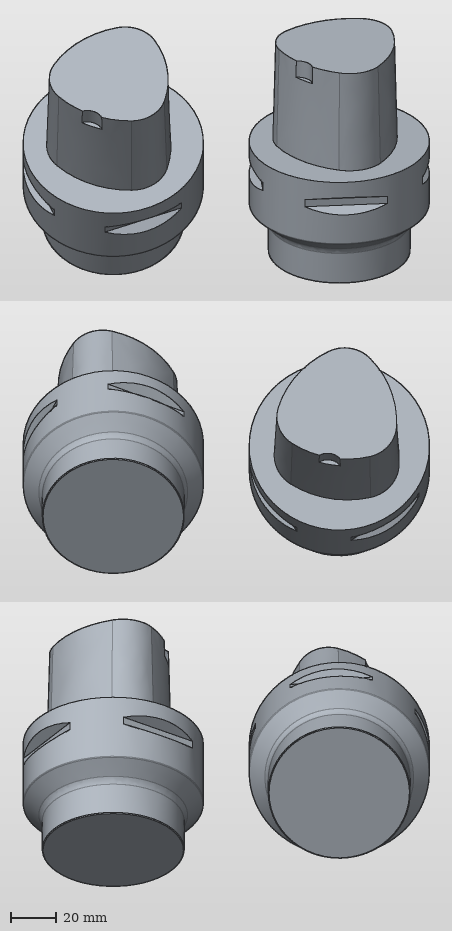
import cadquery as cq
import math

total_height = 103.0
flange_top = 55.0
flange_bottom = 24.1

flange_radius = 80.0 / 2
collar_radius = 63.0 / 2
cone_angle = 50.0
neck_fillet = 4.1
flange_edge_fillet = 0.6
collar_chamfer = 0.4

lobe_reach = 29.7
side_reach = 25.4
lobe_center_distance = 13.2
taper_slope = 1 / 40

notch_radius = 7.0
notch_inner_y = -22.2
notch_floor = 94.9

groove_count = 4
groove_first_angle = 45.0
groove_floor_distance = 35.5
groove_height = 43.1
groove_floor_width = 3.5
groove_wall_angle = 30.0


def rounded(body, height, radius):
    """Fillet the circular edge whose plane is nearest to the given height."""
    circles = body.edges("%CIRCLE")
    edge = min(circles.vals(), key=lambda circle: abs(circle.Center().z - height))
    return body.newObject([edge]).fillet(radius)


def turned_body():
    """Collar, cone and flange as one revolved profile."""
    cone_height = (flange_radius - collar_radius) / math.tan(math.radians(cone_angle))
    neck_height = flange_bottom - cone_height
    body = (
        cq.Workplane("XZ")
        .moveTo(0, 0)
        .lineTo(collar_radius - collar_chamfer, 0)
        .lineTo(collar_radius, collar_chamfer)
        .lineTo(collar_radius, neck_height)
        .lineTo(flange_radius, flange_bottom)
        .lineTo(flange_radius, flange_top)
        .lineTo(0, flange_top)
        .close()
        .revolve(360, (0, 0), (0, 1))
    )
    return rounded(rounded(body, neck_height, neck_fillet), flange_bottom, flange_edge_fillet)


def polar(radius, angle, center=(0, 0)):
    """Point at a radius and an angle in degrees around a center."""
    turn = math.radians(angle)
    return (center[0] + radius * math.cos(turn), center[1] + radius * math.sin(turn))


def lobed_outline(height, offset):
    """Closed outline of three lobe arcs tangent to three side arcs, offset inward."""
    lobe_radius = lobe_reach - lobe_center_distance
    gap = side_reach - lobe_radius
    side_center_distance = (lobe_center_distance**2 - gap**2) / (2 * gap - lobe_center_distance)
    joint_angle = 60 - math.degrees(math.atan2(
        lobe_center_distance * math.sin(math.radians(60)),
        side_center_distance + lobe_center_distance * math.cos(math.radians(60)),
    ))
    outline = cq.Workplane("XY").workplane(offset=height)
    for lobe in range(3):
        tip_angle = 90 + 120 * lobe
        center = polar(lobe_center_distance, tip_angle)
        next_center = polar(lobe_center_distance, tip_angle + 120)
        radius = lobe_radius - offset
        if lobe == 0:
            outline = outline.moveTo(*polar(radius, tip_angle - joint_angle, center))
        outline = outline.threePointArc(
            polar(lobe_reach - offset, tip_angle),
            polar(radius, tip_angle + joint_angle, center),
        )
        outline = outline.threePointArc(
            polar(side_reach - offset, tip_angle + 60),
            polar(radius, tip_angle + 120 - joint_angle, next_center),
        )
    return outline.close().wires().val()


def shank():
    """Tapered lobed shank on top of the flange, with one lobe toward +Y."""
    top_offset = (total_height - flange_top) * taper_slope
    bottom_wire = lobed_outline(flange_top, 0)
    top_wire = lobed_outline(total_height, top_offset)
    return cq.Workplane(obj=cq.Solid.makeLoft([bottom_wire, top_wire], True))


def notch():
    """Upright cylinder that cuts the round-backed notch."""
    return (
        cq.Workplane("XY", origin=(0, notch_inner_y - notch_radius, notch_floor))
        .circle(notch_radius)
        .extrude(total_height - notch_floor)
    )


def groove(angle):
    """Straight flat-bottomed groove with flared walls, facing the given direction."""
    half_floor = groove_floor_width / 2
    depth = flange_radius - groove_floor_distance
    half_mouth = half_floor + depth * math.tan(math.radians(groove_wall_angle))
    return (
        cq.Workplane("XZ", origin=(0, 0, groove_height))
        .moveTo(groove_floor_distance, -half_floor)
        .lineTo(flange_radius, -half_mouth)
        .lineTo(flange_radius, half_mouth)
        .lineTo(groove_floor_distance, half_floor)
        .close()
        .extrude(flange_radius, both=True)
        .rotate((0, 0, 0), (0, 0, 1), angle)
    )


result = turned_body().union(shank()).cut(notch())
for index in range(groove_count):
    result = result.cut(groove(groove_first_angle + index * 360 / groove_count))